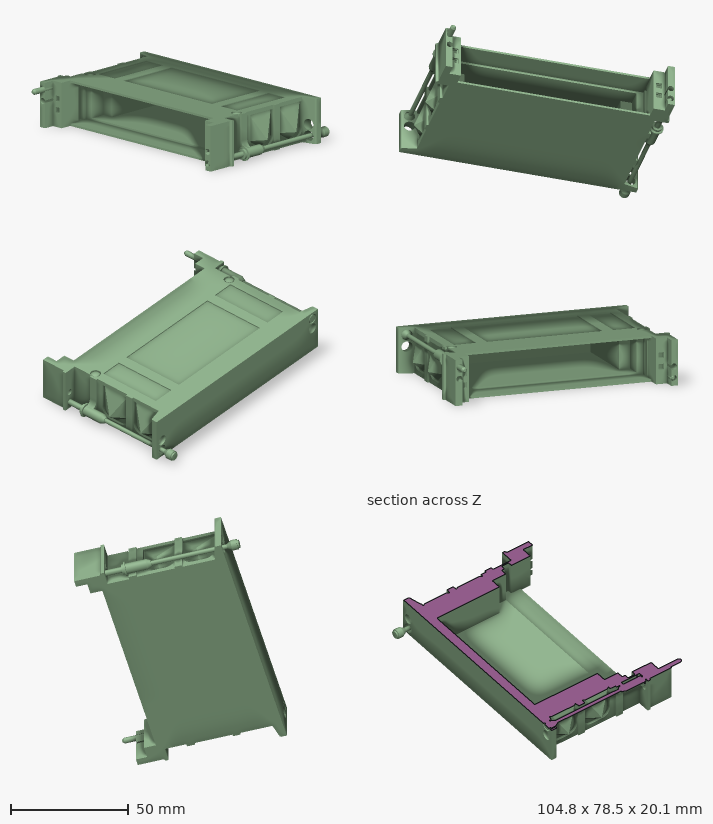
import cadquery as cq
import math


WIDTH = 104.8
HEIGHT = 20.0
MID_Z = HEIGHT / 2
FLANGE_TIP_Y = -2.9
FLANGE_ROOT_Y = -4.5
FLANGE_TIP_FILLET = 0.8
REAR_HALF = 45.8
FRONT_HALF = 45.5
RIB_HALF = 46.7
RIB_SPANS = [(-22.1, -18.8), (-42.4, -38.8)]
LUG_REAR_Y = -51.8
LUG_HALF = 51.6
LUG_BEVEL_Y = (-53.2, -53.7)
LEG_HALF = 50.6
LEG_INNER_HALF = 47.6
LEG_FRONT_Y = -65.1
PLATE_FRONT_Y = -54.9

BLOCK_INNER_HALF = 42.6
BLOCK_FRONT_Y = -60.2
WINDOW_SIZE = 2.5
WINDOW_DEPTH = 0.7
WINDOW_CORE_SIZE = 2.0
WINDOW_CORE_DEPTH = 1.3
WINDOW_X = 45.0
WINDOW_OFFSET_Z = 2.5

MOUTH_WALL = 0.9
INNER_WALL = 2.0
STEP_Y = -44.9
CHAMBER_HALF = 39.5
CHAMBER_REAR_Y = -37.7
REAR_CHAMBER_HALF = 34.5
SLOT_HALF = 44.6
SLOT_SPAN = (-49.9, -46.5)

LABEL_DEPTH = 0.5
LABEL_FRONT_Y = -39.4
LABEL_REAR_Y = -10.0
LABEL_SPANS = [(-41.3, -31.2), (-26.3, 26.3), (31.2, 41.3)]

POCKET_CENTRES_Y = [-11.6, -29.1]
POCKET_HALF = 6.9
POCKET_FLOOR_HALF = 44.7
POCKET_BOTTOM_Z = 2.2
POCKET_TOP_Z = 18.2
POCKET_CORNER = 4.2
PYRAMID_HALF = 6.7
PYRAMID_SHOULDER_Z = 6.5
PYRAMID_TIP_Z = 2.5
PYRAMID_APEX_HALF = 49.3

ROD_X = 48.9
ROD_OFFSET_Z = 6.8
SPARE_HOLE_OFFSET_Z = 1.7
ROD_DIA = 2.0
PIN_DIA = 2.5
PIN_TIP_DIA = 1.3
PIN_HOLE_DIA = 2.7
KNOB_DIA = 4.5
KNOB_END_DIA = 3.6
KNOB_HOLE_DIA = 4.6
SLEEVE_DIA = 4.5
SLEEVE_NOSE_DIA = 2.7
COLLAR_DIA = 6.3
ROD_TRAVEL = 7.1
KNOB_END_LENGTH = 0.7
KNOB_BODY_END = 3.3
KNOB_CONE_END = 5.3
SLEEVE_START = 38.7
SLEEVE_NOSE_END = 40.7
SLEEVE_END = 51.5
COLLAR_START = 49.7
COLLAR_END = 50.3
PIN_CONE_START = 70.5
ROD_LENGTH = 71.4
BRACKET_RADIUS = 2.9
BRACKET_LOW_OFFSET_Z = 1.8
BRACKET_HIGH_OFFSET_Z = 5.7

SCREW_X = 43.4
SCREW_Y = -41.9
SCREW_HOLE_DIA = 4.6
SCREW_HOLE_DEPTH = 0.8
SCREW_HEAD_DIA = 3.6
SCREW_DOME_HEIGHT = 0.4
SCREW_TOP_Z = 20.1


def box(x_span, y_span, z_span):
    size = [abs(b - a) for a, b in (x_span, y_span, z_span)]
    low = [min(span) for span in (x_span, y_span, z_span)]
    return cq.Workplane("XY").box(*size, centered=False).translate(tuple(low))


def y_cylinder(x, z, diameter, y_span):
    length = y_span[1] - y_span[0]
    return cq.Workplane("XZ", origin=(x, y_span[1], z)).circle(diameter / 2).extrude(length)


def both_sides(shape):
    """Join a shape on +X with its mirror image on -X."""
    return shape.union(shape.mirror("YZ"))


def body():
    """Half outline on +X, mirrored and extruded to full height."""
    half = (
        cq.Workplane("XY")
        .polyline([
            (0, 0),
            (WIDTH / 2, 0),
            (WIDTH / 2, FLANGE_TIP_Y),
            (REAR_HALF, FLANGE_ROOT_Y),
            (REAR_HALF, RIB_SPANS[1][1]),
            (FRONT_HALF, RIB_SPANS[1][1]),
            (FRONT_HALF, LUG_REAR_Y),
            (LUG_HALF, LUG_REAR_Y),
            (LUG_HALF, LUG_BEVEL_Y[0]),
            (LEG_HALF, LUG_BEVEL_Y[1]),
            (LEG_HALF, LEG_FRONT_Y),
            (LEG_INNER_HALF, LEG_FRONT_Y),
            (LEG_INNER_HALF, BLOCK_FRONT_Y),
            (BLOCK_INNER_HALF, BLOCK_FRONT_Y),
            (BLOCK_INNER_HALF, PLATE_FRONT_Y),
            (0, PLATE_FRONT_Y),
        ])
        .close()
        .extrude(HEIGHT)
    )
    tip = cq.selectors.NearestToPointSelector((WIDTH / 2, FLANGE_TIP_Y, MID_Z))
    half = half.edges(tip).fillet(FLANGE_TIP_FILLET)
    for y_span in RIB_SPANS:
        half = half.union(box((CHAMBER_HALF, RIB_HALF), y_span, (0, HEIGHT)))
    return both_sides(half)


def cavity():
    mouth_z = (MOUTH_WALL, HEIGHT - MOUTH_WALL)
    inner_z = (INNER_WALL, HEIGHT - INNER_WALL)
    mouth = box((-BLOCK_INNER_HALF, BLOCK_INNER_HALF), (PLATE_FRONT_Y, STEP_Y), mouth_z)
    slot = box((-SLOT_HALF, SLOT_HALF), SLOT_SPAN, mouth_z)
    chamber = box((-CHAMBER_HALF, CHAMBER_HALF), (STEP_Y, CHAMBER_REAR_Y), inner_z)
    rear = box((-REAR_CHAMBER_HALF, REAR_CHAMBER_HALF), (CHAMBER_REAR_Y, FLANGE_ROOT_Y), inner_z)
    return mouth.union(slot).union(chamber).union(rear)


def cut_windows(chassis):
    """Stepped square light windows in the front face of both blocks."""
    for side in (-1, 1):
        for level in (-1, 1):
            centre = (side * WINDOW_X, BLOCK_FRONT_Y, MID_Z + level * WINDOW_OFFSET_Z)
            start = cq.Workplane("XZ", origin=centre)
            for size, depth in ((WINDOW_SIZE, WINDOW_DEPTH), (WINDOW_CORE_SIZE, WINDOW_CORE_DEPTH)):
                chassis = chassis.cut(start.rect(size, size).extrude(-depth))
    return chassis


def cut_labels(chassis):
    for x_span in LABEL_SPANS:
        chassis = chassis.cut(box(x_span, (LABEL_FRONT_Y, LABEL_REAR_Y), (HEIGHT - LABEL_DEPTH, HEIGHT)))
    return chassis


def side_pocket(centre_y):
    """Pocket in the +X wall, rounded at its two lower corners."""
    pocket = box(
        (POCKET_FLOOR_HALF, RIB_HALF),
        (centre_y - POCKET_HALF, centre_y + POCKET_HALF),
        (POCKET_BOTTOM_Z, POCKET_TOP_Z),
    )
    return pocket.edges("|X and <Z").fillet(POCKET_CORNER)


def pyramid(centre_y):
    """Five-sided pyramid on the +X pocket floor, pointing outward."""
    x = POCKET_FLOOR_HALF
    apex = cq.Vector(PYRAMID_APEX_HALF, centre_y, PYRAMID_SHOULDER_Z)
    corners = [
        cq.Vector(x, centre_y - PYRAMID_HALF, POCKET_TOP_Z),
        cq.Vector(x, centre_y - PYRAMID_HALF, PYRAMID_SHOULDER_Z),
        cq.Vector(x, centre_y, PYRAMID_TIP_Z),
        cq.Vector(x, centre_y + PYRAMID_HALF, PYRAMID_SHOULDER_Z),
        cq.Vector(x, centre_y + PYRAMID_HALF, POCKET_TOP_Z),
    ]
    faces = [cq.Face.makeFromWires(cq.Wire.makePolygon(corners, close=True))]
    for first, second in zip(corners, corners[1:] + corners[:1]):
        faces.append(cq.Face.makeFromWires(cq.Wire.makePolygon([first, second, apex], close=True)))
    return cq.Workplane(cq.Solid.makeSolid(cq.Shell.makeShell(faces)))


def cut_rod_holes(chassis):
    """On each side: knob holes through the rear flange and pin holes through the leg."""
    for side in (-1, 1):
        for offset in (ROD_OFFSET_Z, SPARE_HOLE_OFFSET_Z):
            x = side * ROD_X
            z = MID_Z - side * offset
            chassis = chassis.cut(y_cylinder(x, z, KNOB_HOLE_DIA, (FLANGE_ROOT_Y, 0)))
            rear_y = BLOCK_FRONT_Y if offset == ROD_OFFSET_Z else LUG_REAR_Y
            chassis = chassis.cut(y_cylinder(x, z, PIN_HOLE_DIA, (LEG_FRONT_Y, rear_y)))
    return chassis


def rod(x, z, knob_end_y):
    """Knob, shaft, sleeve with collar and locking pin, turned about one axis along Y."""
    stations = [
        (0, 0),
        (KNOB_END_DIA, 0),
        (KNOB_END_DIA, KNOB_END_LENGTH),
        (KNOB_DIA, KNOB_END_LENGTH),
        (KNOB_DIA, KNOB_BODY_END),
        (ROD_DIA, KNOB_CONE_END),
        (ROD_DIA, SLEEVE_START),
        (SLEEVE_NOSE_DIA, SLEEVE_START),
        (SLEEVE_DIA, SLEEVE_NOSE_END),
        (SLEEVE_DIA, COLLAR_START),
        (COLLAR_DIA, COLLAR_START),
        (COLLAR_DIA, COLLAR_END),
        (SLEEVE_DIA, COLLAR_END),
        (SLEEVE_DIA, SLEEVE_END),
        (PIN_DIA, SLEEVE_END),
        (PIN_DIA, PIN_CONE_START),
        (PIN_TIP_DIA, ROD_LENGTH),
        (0, ROD_LENGTH),
    ]
    profile = cq.Workplane("XY").polyline([(diameter / 2, -along) for diameter, along in stations])
    return profile.close().revolve(360, (0, 0, 0), (0, 1, 0)).translate((x, knob_end_y, z))


def rod_bracket():
    """Flared arm under the -X sleeve, growing out of the front rib."""
    low_z = MID_Z + BRACKET_LOW_OFFSET_Z
    high_z = MID_Z + BRACKET_HIGH_OFFSET_Z
    sweep = math.acos(1 - (ROD_X - RIB_HALF) / BRACKET_RADIUS)

    def arc_point(angle):
        return (
            -RIB_HALF - BRACKET_RADIUS * (1 - math.cos(angle)),
            low_z + BRACKET_RADIUS * math.sin(angle),
        )

    y_front, y_rear = RIB_SPANS[1]
    return (
        cq.Workplane("XZ", origin=(0, y_rear, 0))
        .moveTo(-FRONT_HALF, low_z)
        .lineTo(-RIB_HALF, low_z)
        .threePointArc(arc_point(sweep / 2), arc_point(sweep))
        .lineTo(-ROD_X, high_z)
        .lineTo(-FRONT_HALF, high_z)
        .close()
        .extrude(y_rear - y_front)
    )


def add_screw(chassis, x):
    """Countersunk cover screw: a round recess holding a shallow domed head."""
    floor_z = HEIGHT - SCREW_HOLE_DEPTH
    rim_z = SCREW_TOP_Z - SCREW_DOME_HEIGHT
    radius = SCREW_HEAD_DIA / 2
    dome_radius = (radius ** 2 + SCREW_DOME_HEIGHT ** 2) / (2 * SCREW_DOME_HEIGHT)
    arc_x = radius / 2
    arc_z = SCREW_TOP_Z - dome_radius + math.sqrt(dome_radius ** 2 - arc_x ** 2)
    recess = cq.Workplane("XY", origin=(x, SCREW_Y, floor_z)).circle(SCREW_HOLE_DIA / 2)
    head = (
        cq.Workplane("XZ")
        .moveTo(0, floor_z)
        .lineTo(radius, floor_z)
        .lineTo(radius, rim_z)
        .threePointArc((arc_x, arc_z), (0, SCREW_TOP_Z))
        .close()
        .revolve(360, (0, 0, 0), (0, 1, 0))
        .translate((x, SCREW_Y, 0))
    )
    return chassis.cut(recess.extrude(SCREW_HOLE_DEPTH)).union(head)


result = body().cut(cavity())
result = cut_windows(result)
result = cut_labels(result)
for pocket_y in POCKET_CENTRES_Y:
    result = result.cut(both_sides(side_pocket(pocket_y)))
    result = result.union(both_sides(pyramid(pocket_y)))
result = cut_rod_holes(result)

bracket = rod_bracket()
result = result.union(bracket)
result = result.union(bracket.rotate((0, 0, MID_Z), (0, 1, MID_Z), 180))
result = result.union(rod(-ROD_X, MID_Z + ROD_OFFSET_Z, 0))
result = result.union(rod(ROD_X, MID_Z - ROD_OFFSET_Z, ROD_TRAVEL))
for screw_x in (-SCREW_X, SCREW_X):
    result = add_screw(result, screw_x)